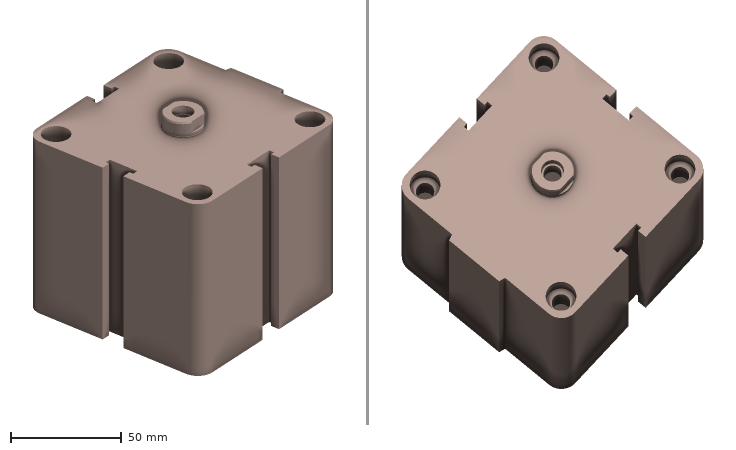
import cadquery as cq

SIDE = 102.0
HALF_SIDE = SIDE / 2
HOUSING_HEIGHT = 91.0
CORNER_RADIUS = 8.5
OVERALL_DEPTH = 105.0

PAD_HEIGHT = OVERALL_DEPTH - SIDE
PAD_BASE_WIDTH = 32.0
PAD_TOP_WIDTH = 30.2

SLOT_MOUTH_WIDTH = 12.0
SLOT_INNER_WIDTH = 16.2
SLOT_DEPTH = 7.5
SLOT_LIP = 4.6

MOUNT_PITCH = 82.0
MOUNT_HOLE_DIAMETER = 8.4
MOUNT_BORE_DIAMETER = 14.0
MOUNT_BORE_DEPTH = 8.5
MOUNT_HOLE_DEPTH = 21.0

COLLAR_DIAMETER = 20.0
COLLAR_HEIGHT = 0.7
COLLAR_CHAMFER_HEIGHT = 0.37
COLLAR_CHAMFER_WIDTH = 0.16

ROD_DIAMETER = 19.5
ROD_PROJECTION = 8.0
ROD_INSERTION = 16.4
ROD_BOTTOM = HOUSING_HEIGHT - ROD_INSERTION
ROD_LENGTH = ROD_INSERTION + ROD_PROJECTION
ROD_TOP = ROD_BOTTOM + ROD_LENGTH
ROD_CHAMFER_HEIGHT = 0.8
ROD_CHAMFER_WIDTH = 0.4
FLATS_WIDTH = 17.0
FLATS_HEIGHT = 5.8
ROD_BORE_DIAMETER = 10.4
ROD_BORE_DEPTH = 4.2
ROD_HOLE_DIAMETER = 8.4
ROD_HOLE_DEPTH = 12.6


def make_pad():
    """Tapered pad running the full height of the +Y face."""
    return (
        cq.Workplane("XY")
        .polyline([
            (-PAD_BASE_WIDTH / 2, HALF_SIDE),
            (PAD_BASE_WIDTH / 2, HALF_SIDE),
            (PAD_TOP_WIDTH / 2, HALF_SIDE + PAD_HEIGHT),
            (-PAD_TOP_WIDTH / 2, HALF_SIDE + PAD_HEIGHT),
        ])
        .close()
        .extrude(HOUSING_HEIGHT)
    )


def make_slot(angle):
    """T-slot through the full height of the -Y face, turned about Z by angle."""
    mouth = (
        cq.Workplane("XY")
        .center(0, -HALF_SIDE + SLOT_DEPTH / 2)
        .rect(SLOT_MOUTH_WIDTH, SLOT_DEPTH)
        .extrude(HOUSING_HEIGHT)
    )
    undercut = (
        cq.Workplane("XY")
        .center(0, -HALF_SIDE + (SLOT_LIP + SLOT_DEPTH) / 2)
        .rect(SLOT_INNER_WIDTH, SLOT_DEPTH - SLOT_LIP)
        .extrude(HOUSING_HEIGHT)
    )
    return mouth.union(undercut).rotate((0, 0, 0), (0, 0, 1), angle)


def make_housing():
    """Block with pad, T-slots, mounting holes, rod collar and rod socket."""
    block = (
        cq.Workplane("XY")
        .rect(SIDE, SIDE)
        .extrude(HOUSING_HEIGHT)
        .edges("|Z")
        .fillet(CORNER_RADIUS)
        .union(make_pad())
    )

    for angle in (-90, 0, 90):
        block = block.cut(make_slot(angle))

    block = (
        block.faces(">Z")
        .workplane(origin=(0, 0, HOUSING_HEIGHT))
        .rect(MOUNT_PITCH, MOUNT_PITCH, forConstruction=True)
        .vertices()
        .cboreHole(MOUNT_HOLE_DIAMETER, MOUNT_BORE_DIAMETER, MOUNT_BORE_DEPTH, MOUNT_HOLE_DEPTH)
    )

    collar = (
        cq.Workplane("XY", origin=(0, 0, HOUSING_HEIGHT))
        .circle(COLLAR_DIAMETER / 2)
        .extrude(COLLAR_HEIGHT)
        .faces(">Z")
        .chamfer(COLLAR_CHAMFER_HEIGHT, COLLAR_CHAMFER_WIDTH)
    )
    socket = (
        cq.Workplane("XY", origin=(0, 0, ROD_BOTTOM))
        .circle(ROD_DIAMETER / 2)
        .extrude(ROD_LENGTH)
    )
    return block.union(collar).cut(socket)


def make_rod():
    """Round rod with a chamfered tip, two wrench flats and a stepped blind bore."""
    shaft = (
        cq.Workplane("XY", origin=(0, 0, ROD_BOTTOM))
        .circle(ROD_DIAMETER / 2)
        .extrude(ROD_LENGTH)
        .faces(">Z")
        .chamfer(ROD_CHAMFER_HEIGHT, ROD_CHAMFER_WIDTH)
    )

    flats = (
        cq.Workplane("XY", origin=(0, 0, ROD_TOP - FLATS_HEIGHT))
        .rect(2 * ROD_DIAMETER, 2 * ROD_DIAMETER)
        .rect(FLATS_WIDTH, 2 * ROD_DIAMETER)
        .extrude(FLATS_HEIGHT)
    )

    return (
        shaft.cut(flats)
        .faces(">Z")
        .workplane(origin=(0, 0, ROD_TOP))
        .cboreHole(ROD_HOLE_DIAMETER, ROD_BORE_DIAMETER, ROD_BORE_DEPTH, ROD_HOLE_DEPTH)
    )


housing = make_housing()
rod = make_rod()

result = cq.Compound.makeCompound([housing.val(), rod.val()])